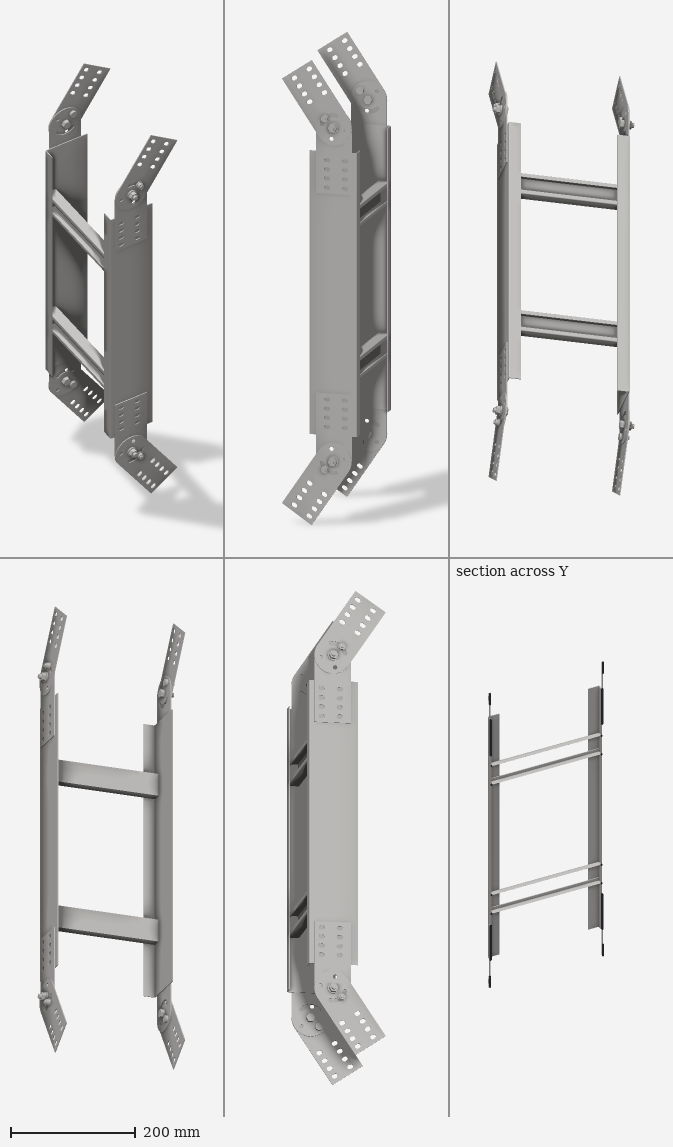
import cadquery as cq
import math

length_z = 766.0
width_x = 232.0
depth_y = 124.0

sheet = 1.5
bend_radius = 1.5

rail_length = 467.0
rail_web = 79.0
rail_flange = 20.0
rail_outer_x = 99.5
rail_front_y = -depth_y / 2

rung_height = 37.5
rung_depth = 17.5
rung_lip = 7.0
rung_pitch = 250.5

plate_width = 60.0
plate_length = 110.0
tilt = 34.0
tilt_rad = math.radians(tilt)
pivot_y = depth_y / 2 - plate_length * math.sin(tilt_rad) - plate_width / 2 * math.cos(tilt_rad)
pivot_z = length_z / 2 - plate_length * math.cos(tilt_rad) - plate_width / 2 * math.sin(tilt_rad)

hole_width = 7.0
hole_length = 10.0
hole_rows = (11.5, -18.0)
hole_count = 4
first_hole = 55.0
last_hole = 100.0
hole_pitch = (last_hole - first_hole) / (hole_count - 1)

adjust_radius = 20.0
adjust_angle = 45.0
slot_width = 7.0

plates_outer_x = rail_outer_x + 2 * sheet
washer_thickness = 2.0
pivot_stud_diameter = 8.0
pivot_nut_flats = 12.0
pivot_washer_diameter = 17.0
pivot_nut_x = 112.0
pivot_head_x = 93.0
lock_stud_diameter = 6.0
lock_nut_diameter = 10.0
lock_washer_diameter = 12.0
lock_head_diameter = 12.0
lock_stud_x = 112.0
lock_nut_x = 109.5
lock_head_x = 95.0


def box(x0, x1, y0, y1, z0, z1):
    return cq.Workplane("XY").box(x1 - x0, y1 - y0, z1 - z0, centered=False).translate((x0, y0, z0))


def disc(diameter, x0, x1, y=0.0, z=0.0):
    """Cylinder along X from x0 to x1."""
    return cq.Workplane("YZ", origin=(x0, 0, 0)).center(y, z).circle(diameter / 2).extrude(x1 - x0)


def make_rail():
    """Right-hand rail: web in the YZ plane and a flange turned inward along the -Y edge."""
    half = rail_length / 2
    inner_x = rail_outer_x - sheet
    web = box(inner_x, rail_outer_x, rail_front_y, rail_front_y + rail_web, -half, half)
    flange = box(rail_outer_x - rail_flange, rail_outer_x, rail_front_y, rail_front_y + sheet, -half, half)
    rail = web.union(flange)
    return rail.edges("|Z").edges(">X and <Y").fillet(bend_radius)


def make_rung(z):
    """Lipped C-channel across the rails, centred at height z."""
    half_x = rail_outer_x - sheet
    half_z = rung_height / 2
    y0 = rail_front_y + sheet
    y1 = y0 + rung_depth
    bar = box(-half_x, half_x, y0, y1, z - half_z, z + half_z).edges("|X and <Y").fillet(bend_radius)
    inner_z = half_z - sheet
    hollow = box(-half_x, half_x, y0 + sheet, y1 - sheet, z - inner_z, z + inner_z)
    mouth_z = half_z - rung_lip
    mouth = box(-half_x, half_x, y0, y0 + sheet, z - mouth_z, z + mouth_z)
    return bar.cut(hollow).cut(mouth)


def make_ladder():
    right_rail = make_rail()
    ladder = right_rail.union(right_rail.mirror("YZ"))
    for side in (-1, 1):
        ladder = ladder.union(make_rung(side * rung_pitch / 2))
    return ladder


def polar(radius, angle):
    """Point in YZ at an angle from +Z, turning toward +Y."""
    turn = math.radians(angle)
    return radius * math.sin(turn), radius * math.cos(turn)


def make_slot(x0):
    """Arc-shaped slot about the pivot, centred on +Z, with rounded ends."""
    inner = adjust_radius - slot_width / 2
    outer = adjust_radius + slot_width / 2
    band = (
        cq.Workplane("YZ", origin=(x0, 0, 0))
        .moveTo(*polar(outer, -adjust_angle))
        .threePointArc((0, outer), polar(outer, adjust_angle))
        .lineTo(*polar(inner, adjust_angle))
        .threePointArc((0, inner), polar(inner, -adjust_angle))
        .close()
        .extrude(sheet)
    )
    for angle in (-adjust_angle, adjust_angle):
        band = band.union(disc(slot_width, x0, x0 + sheet, *polar(adjust_radius, angle)))
    return band


def make_plate(x0):
    """Plate with its pivot at the origin, running up +Z, with its inner face at x0."""
    half = plate_width / 2
    plate = (
        cq.Workplane("YZ", origin=(x0, 0, 0))
        .moveTo(half, 0)
        .lineTo(half, plate_length)
        .lineTo(-half, plate_length)
        .lineTo(-half, 0)
        .threePointArc((0, -half), (half, 0))
        .close()
        .extrude(sheet)
    )
    blank = cq.Workplane("YZ", origin=(x0, 0, 0))
    for row in hole_rows:
        for i in range(hole_count):
            z = first_hole + i * hole_pitch
            hole = blank.center(row, z).slot2D(hole_length, hole_width).extrude(sheet)
            plate = plate.cut(hole)
    for side in (-1, 1):
        place = polar(adjust_radius, 180 + side * adjust_angle)
        plate = plate.cut(disc(slot_width, x0, x0 + sheet, *place))
    return plate.cut(make_slot(x0))


def hexagon(across_flats, x0, x1):
    """Hexagonal prism along X with two flats facing +Z and -Z."""
    across_corners = across_flats / math.cos(math.pi / 6)
    return cq.Workplane("YZ", origin=(x0, 0, 0)).polygon(6, across_corners).extrude(x1 - x0)


def make_pivot_bolt():
    """Bolt along X with a stud, hexagonal nut and washer outside and a hexagonal head inside."""
    washer_x = plates_outer_x + washer_thickness
    return (
        disc(pivot_stud_diameter, pivot_head_x, width_x / 2)
        .union(hexagon(pivot_nut_flats, washer_x, pivot_nut_x))
        .union(disc(pivot_washer_diameter, plates_outer_x, washer_x))
        .union(hexagon(pivot_nut_flats, pivot_head_x, rail_outer_x))
    )


def make_lock_bolt():
    """Bolt along X with a stud, round nut and washer outside and a round head inside."""
    washer_x = plates_outer_x + washer_thickness
    return (
        disc(lock_stud_diameter, lock_head_x, lock_stud_x)
        .union(disc(lock_nut_diameter, washer_x, lock_nut_x))
        .union(disc(lock_washer_diameter, plates_outer_x, washer_x))
        .union(disc(lock_head_diameter, lock_head_x, rail_outer_x))
    )


def make_connector():
    """Top right hinged connector: fixed plate, tilted plate and two bolts."""
    fixed = make_plate(rail_outer_x).mirror("XY")
    tilted = make_plate(rail_outer_x + sheet).rotate((0, 0, 0), (1, 0, 0), -tilt)
    pivot_bolt = make_pivot_bolt()
    lock_bolt = make_lock_bolt().translate((0, *polar(adjust_radius, adjust_angle)))
    connector = fixed.union(tilted).union(pivot_bolt).union(lock_bolt)
    return connector.translate((0, pivot_y, pivot_z))


ladder = make_ladder()
top_right = make_connector()
connectors = []
for right in (top_right, top_right.mirror("XY")):
    connectors.append(right.val())
    connectors.append(right.mirror("YZ").val())

result = cq.Compound.makeCompound([ladder.val(), *connectors])